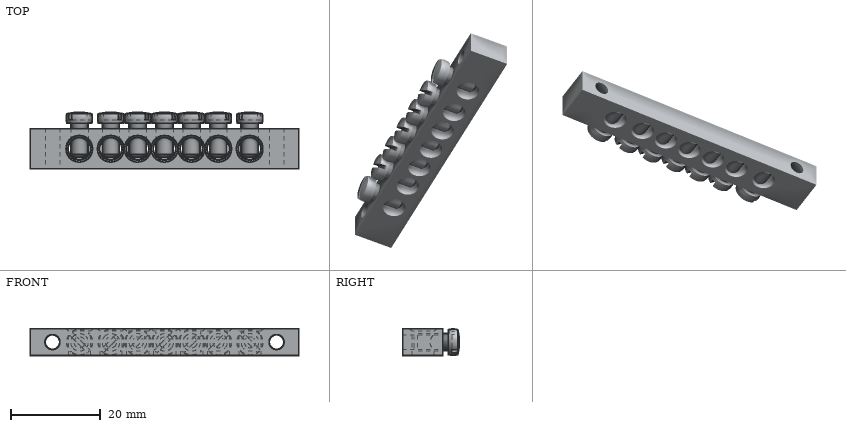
import cadquery as cq

BAR_LENGTH = 60.0
BAR_DEPTH = 9.0
BAR_HEIGHT = 6.0
BAR_BACK_Y = BAR_DEPTH / 2

MOUNT_HOLE_DIAMETER = 3.25
MOUNT_HOLE_X = 25.0

TERMINAL_PITCH = 6.0
INNER_TERMINAL_COUNT = 5
END_TERMINAL_X = 19.0

WIRE_HOLE_DIAMETER = 5.0
COUNTERSINK_DIAMETER = 5.95
COUNTERSINK_ANGLE = 90.0

SHANK_DIAMETER = 3.9
TIP_DEPTH = 6.5
TIP_CHAMFER = 0.7
HEAD_BASE = 1.2
HEAD_RIM = 3.3
HEAD_TOP = 3.65
HEAD_END_DIAMETER = 5.6
HEAD_BULGE_DIAMETER = 5.9
SLOT_WIDTH = 0.9
SLOT_FLOOR = 2.0

INNER_SLOT_TURN = -45.0
END_SLOT_TURN = 45.0

inner_terminal_xs = [
    (index - (INNER_TERMINAL_COUNT - 1) / 2) * TERMINAL_PITCH for index in range(INNER_TERMINAL_COUNT)
]
end_terminal_xs = [-END_TERMINAL_X, END_TERMINAL_X]
terminal_xs = inner_terminal_xs + end_terminal_xs


def make_bar():
    """Terminal bar with countersunk wire holes, screw bores and two mounting holes."""
    bar = cq.Workplane("XY").box(BAR_LENGTH, BAR_DEPTH, BAR_HEIGHT)

    bar = (
        bar.faces(">Z")
        .workplane(origin=(0, 0, 0))
        .pushPoints([(x, 0) for x in terminal_xs])
        .cskHole(WIRE_HOLE_DIAMETER, COUNTERSINK_DIAMETER, COUNTERSINK_ANGLE)
    )

    screw_bores = (
        cq.Workplane("XZ")
        .pushPoints([(x, 0) for x in terminal_xs])
        .circle(SHANK_DIAMETER / 2)
        .extrude(-BAR_BACK_Y)
    )

    mount_holes = (
        cq.Workplane("XZ")
        .pushPoints([(-MOUNT_HOLE_X, 0), (MOUNT_HOLE_X, 0)])
        .circle(MOUNT_HOLE_DIAMETER / 2)
        .extrude(BAR_DEPTH / 2, both=True)
    )
    return bar.cut(screw_bores).cut(mount_holes)


def make_screw(x, slot_turn):
    """Slotted screw with a barrel-sided, domed head, its axis along Y at the given X."""
    shank_radius = SHANK_DIAMETER / 2
    head_end_radius = HEAD_END_DIAMETER / 2
    dome_height = HEAD_TOP - HEAD_RIM
    dome_radius = (head_end_radius**2 + dome_height**2) / (2 * dome_height)
    dome_mid_radius = head_end_radius / 2
    dome_mid_y = HEAD_TOP - dome_radius + (dome_radius**2 - dome_mid_radius**2) ** 0.5

    screw = (
        cq.Workplane("XY")
        .moveTo(0, -TIP_DEPTH)
        .lineTo(shank_radius - TIP_CHAMFER, -TIP_DEPTH)
        .lineTo(shank_radius, -TIP_DEPTH + TIP_CHAMFER)
        .lineTo(shank_radius, HEAD_BASE)
        .lineTo(head_end_radius, HEAD_BASE)
        .threePointArc(
            (HEAD_BULGE_DIAMETER / 2, (HEAD_BASE + HEAD_RIM) / 2),
            (head_end_radius, HEAD_RIM),
        )
        .threePointArc((dome_mid_radius, dome_mid_y), (0, HEAD_TOP))
        .close()
        .revolve(360, (0, 0, 0), (0, 1, 0))
    )

    slot_depth = HEAD_TOP - SLOT_FLOOR
    slot = (
        cq.Workplane("XY")
        .box(2 * HEAD_BULGE_DIAMETER, slot_depth, SLOT_WIDTH)
        .translate((0, SLOT_FLOOR + slot_depth / 2, 0))
        .rotate((0, 0, 0), (0, 1, 0), slot_turn)
    )
    return screw.cut(slot).translate((x, BAR_BACK_Y, 0))


bar = make_bar()
screws = [make_screw(x, INNER_SLOT_TURN) for x in inner_terminal_xs]
screws += [make_screw(x, END_SLOT_TURN) for x in end_terminal_xs]

result = cq.Compound.makeCompound([bar.val(), *[screw.val() for screw in screws]])